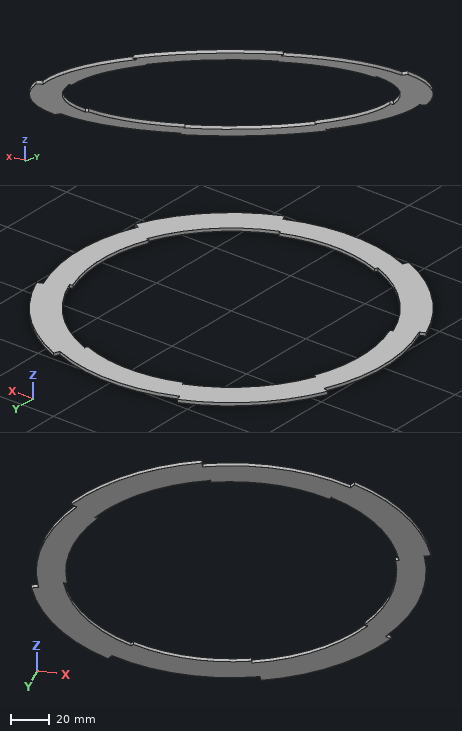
import cadquery as cq

thickness = 2.0
outer_radius = 102.2
tab_height = 3.7
bore_radius = 86.6
recess_depth = 1.8
tab_span = 44.0
recess_span = 46.6
sector_count = 4
first_sector_angle = 45.0


def stepped_disc(base_radius, step, span):
    """Disc whose radius grows by step over sectors centred on the diagonals."""
    disc = cq.Workplane("XY").circle(base_radius).extrude(thickness)
    for index in range(sector_count):
        start = first_sector_angle + index * 360 / sector_count - span / 2
        sector = cq.Solid.makeCylinder(base_radius + step, thickness, angleDegrees=span)
        disc = disc.union(cq.Workplane(sector.rotate((0, 0, 0), (0, 0, 1), start)))
    return disc


tabbed_disc = stepped_disc(outer_radius, tab_height, tab_span)
recessed_bore = stepped_disc(bore_radius, recess_depth, recess_span)
result = tabbed_disc.cut(recessed_bore)